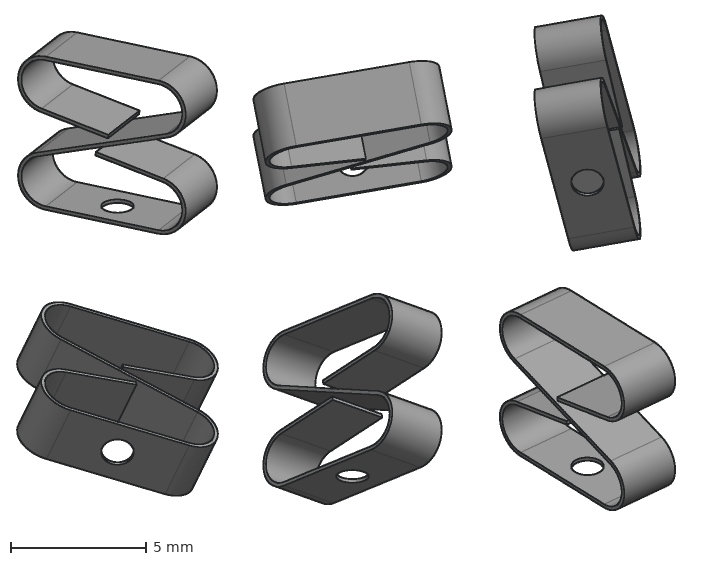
import cadquery as cq
import math

overall_length = 7.0
overall_height = 6.2
strip_width = 2.5
strip_thickness = 0.15
bend_outer_radius = 1.15
leg_angle = 10.0
leg_length = 2.84
hole_diameter = 1.2

bend_x = overall_length / 2 - bend_outer_radius
bend_z = overall_height / 2 - bend_outer_radius
bend_inner_radius = bend_outer_radius - strip_thickness
bend_mid_radius = bend_outer_radius - strip_thickness / 2

web_angle = math.degrees(
    math.atan2(bend_z, bend_x) - math.asin(bend_mid_radius / math.hypot(bend_x, bend_z))
)


def bend_point(side, radius, angle):
    """Point of an upper bend; side is +1 for the right bend, -1 for the left one."""
    turn = math.radians(angle)
    return (
        side * bend_x + radius * math.cos(turn),
        bend_z + radius * math.sin(turn),
    )


def leg_end(radius):
    """End of the free leg on the face that continues the left bend of this radius."""
    start_x, start_z = bend_point(-1, radius, 270 - leg_angle)
    slope = math.radians(leg_angle)
    return (
        start_x + leg_length * math.cos(slope),
        start_z - leg_length * math.sin(slope),
    )


def opposite(point):
    """The point turned half a turn about the centre of the spring."""
    return (-point[0], -point[1])


def loop_face(radius):
    """Points along one face of the upper loop, from the web to the tip of the free leg."""
    right_end = web_angle - 90
    left_end = 270 - leg_angle
    return [
        bend_point(1, radius, right_end),
        bend_point(1, radius, (right_end + 90) / 2),
        bend_point(1, radius, 90),
        bend_point(-1, radius, 90),
        bend_point(-1, radius, (90 + left_end) / 2),
        bend_point(-1, radius, left_end),
        leg_end(radius),
    ]


def draw_outward(sketch, face):
    """Follow a loop face from its web end to the leg tip."""
    return (
        sketch.lineTo(*face[0])
        .threePointArc(face[1], face[2])
        .lineTo(*face[3])
        .threePointArc(face[4], face[5])
        .lineTo(*face[6])
    )


def draw_inward(sketch, face):
    """Follow a loop face from the leg tip back to its web end."""
    return (
        sketch.lineTo(*face[6])
        .lineTo(*face[5])
        .threePointArc(face[4], face[3])
        .lineTo(*face[2])
        .threePointArc(face[1], face[0])
    )


def make_strip():
    """The S-shaped strip: the lower loop is the upper one turned half a turn."""
    upper_outer = loop_face(bend_outer_radius)
    upper_inner = loop_face(bend_inner_radius)
    lower_outer = [opposite(point) for point in upper_outer]
    lower_inner = [opposite(point) for point in upper_inner]

    sketch = cq.Workplane("XZ").moveTo(*lower_inner[0])
    sketch = draw_outward(sketch, upper_outer)
    sketch = draw_inward(sketch, upper_inner)
    sketch = draw_outward(sketch, lower_outer)
    sketch = draw_inward(sketch, lower_inner)
    return sketch.close().extrude(strip_width / 2, both=True)


def make_base_hole():
    """Cutter for the round hole through the middle of the flat base."""
    return (
        cq.Workplane("XY", origin=(0, 0, -overall_height / 2))
        .circle(hole_diameter / 2)
        .extrude(strip_thickness)
    )


result = make_strip().cut(make_base_hole())